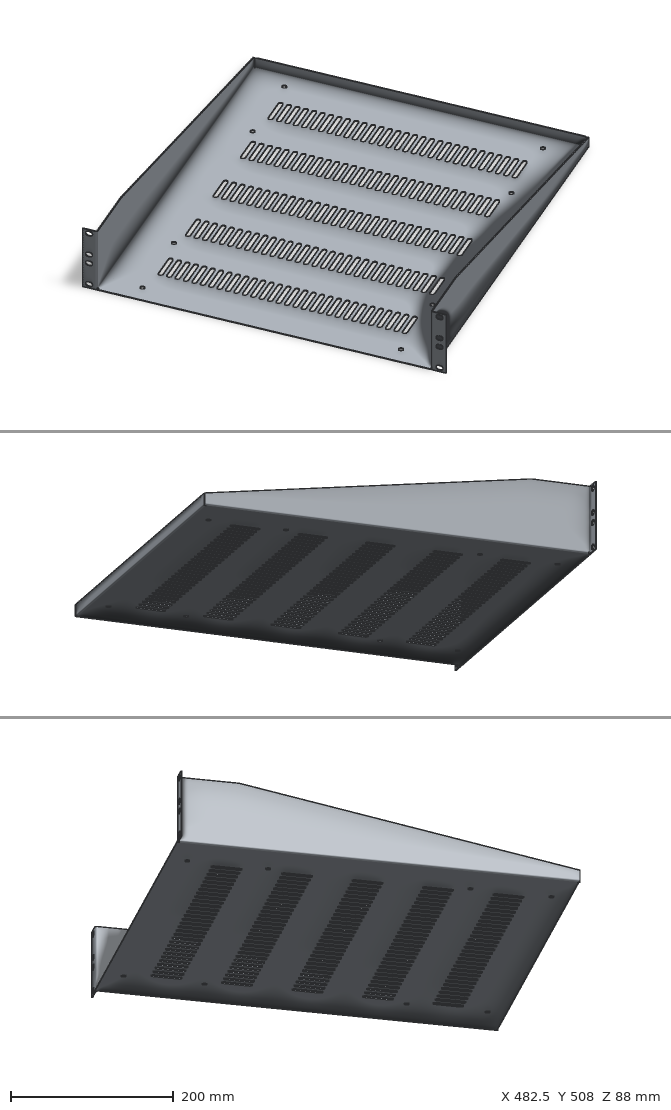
import cadquery as cq

width = 482.5
depth = 508.0
height = 88.0

sheet = 1.5
bend_inner = 1.0
bend_outer = bend_inner + sheet
body_width = 446.0

wall_flat_length = 78.0
wall_rear_height = 16.0
lip_height = 16.5
lip_corner_radius = 3.0

ear_hole_x = 232.5
ear_hole_length = 9.0
ear_hole_height = 6.5
ear_hole_offsets = (6.5, 38.0)

floor_hole_diameter = 6.0
floor_hole_x = 171.5
floor_hole_offsets = (127.5, 229.5)

slot_columns = 30
slot_rows = 5
slot_pitch_x = 11.0
slot_pitch_y = 89.0
slot_width = 6.0
slot_length = 38.5

half_width = width / 2
half_body = body_width / 2
half_depth = depth / 2
centered_on_floor = (True, True, False)


def mirrored(offsets):
    """Each offset on both sides of zero."""
    return [sign * offset for offset in offsets for sign in (-1, 1)]


def make_tray():
    """Floor and side walls, bent from one sheet, with sloping wall tops."""
    outer = (
        cq.Workplane("XY")
        .box(body_width, depth, height, centered=centered_on_floor)
        .edges("|Y and <Z")
        .fillet(bend_outer)
    )
    inner = (
        cq.Workplane("XY", origin=(0, 0, sheet))
        .box(body_width - 2 * sheet, depth, height, centered=centered_on_floor)
        .edges("|Y and <Z")
        .fillet(bend_inner)
    )
    wall_front = -half_depth + bend_outer
    side_profile = (
        cq.Workplane("YZ", origin=(-half_body, 0, 0))
        .moveTo(-half_depth, 0)
        .lineTo(half_depth, 0)
        .lineTo(half_depth, wall_rear_height)
        .lineTo(-half_depth + wall_flat_length, height)
        .lineTo(wall_front, height)
        .lineTo(wall_front, sheet)
        .lineTo(-half_depth, sheet)
        .close()
        .extrude(body_width)
    )
    return outer.cut(inner).intersect(side_profile)


def add_rear_lip(tray):
    """Bend the rear edge of the floor up into a low lip between the side walls."""
    half_length = half_body - bend_outer
    bend_start = half_depth - bend_outer
    square_edge = cq.Workplane("XY").box(2 * half_length, 2 * bend_outer, sheet, centered=centered_on_floor)
    lip = (
        cq.Workplane("YZ", origin=(-half_length, 0, 0))
        .moveTo(bend_start, 0)
        .radiusArc((half_depth, bend_outer), -bend_outer)
        .lineTo(half_depth, lip_height)
        .lineTo(half_depth - sheet, lip_height)
        .lineTo(half_depth - sheet, bend_outer)
        .radiusArc((bend_start, sheet), bend_inner)
        .close()
        .extrude(2 * half_length)
        .edges("|Y and >Z")
        .fillet(lip_corner_radius)
    )
    return tray.cut(square_edge.translate((0, half_depth, 0))).union(lip)


def make_ear():
    """Right rack ear, turned outward from the front edge of the side wall."""
    bend_end = half_body + bend_inner
    return (
        cq.Workplane("XY", origin=(0, -half_depth, 0))
        .moveTo(half_body - sheet, bend_outer)
        .radiusArc((bend_end, 0), -bend_outer)
        .lineTo(half_width, 0)
        .lineTo(half_width, sheet)
        .lineTo(bend_end, sheet)
        .radiusArc((half_body, bend_outer), bend_inner)
        .close()
        .extrude(height)
    )


def make_ear_holes():
    centers = [(x, z) for x in mirrored([ear_hole_x]) for z in mirrored(ear_hole_offsets)]
    return (
        cq.Workplane("XZ", origin=(0, -half_depth + sheet, height / 2))
        .pushPoints(centers)
        .slot2D(ear_hole_length, ear_hole_height)
        .extrude(sheet)
    )


def make_floor_holes():
    centers = [(x, y) for x in mirrored([floor_hole_x]) for y in mirrored(floor_hole_offsets)]
    return cq.Workplane("XY").pushPoints(centers).circle(floor_hole_diameter / 2).extrude(sheet)


def make_vent_slots():
    return (
        cq.Workplane("XY")
        .rarray(slot_pitch_x, slot_pitch_y, slot_columns, slot_rows)
        .slot2D(slot_length, slot_width, 90)
        .extrude(sheet)
    )


ear = make_ear()
shelf = add_rear_lip(make_tray()).union(ear).union(ear.mirror("YZ"))
shelf = shelf.cut(make_ear_holes()).cut(make_floor_holes()).cut(make_vent_slots())
result = cq.Workplane(shelf.solids().val())